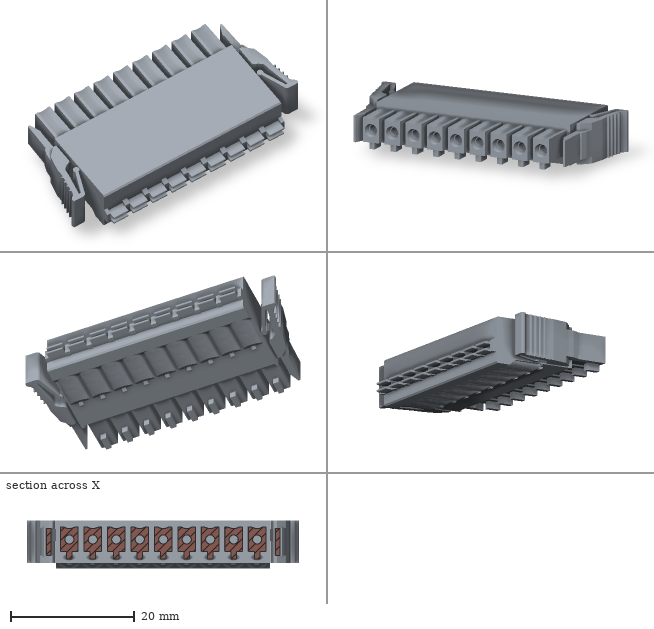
import cadquery as cq


total_length = 22.9
total_width = 44.1
total_height = 7.75

pole_count = 9
pole_row_length = 30.45
pole_pitch = pole_row_length / (pole_count - 1)
pole_places = [i * pole_pitch - pole_row_length / 2 for i in range(pole_count)]

body_front = 6.6
body_back = 21.05
body_width = 34.65
body_underside = 0.93
back_edge_chamfer = 0.25
foot_slope_start = 17.35
slope_run = 1.2

barrel_start = 11.9
barrel_half_width = 1.7
nub_start = 11.05
nub_width = 0.7
nub_bottom = 0.5
nub_tip = 11.55
nub_nose = (11.25, 0.57)
nub_root_height = 0.75
nub_overlap = 0.2

recess_depth = 0.45
recess_left = 16.95
recess_right = -16.7

plug_width = 2.8
plug_root_width = 3.0
plug_bottom = 2.75
plug_top = 6.85
groove_width = 1.9
groove_depth = 0.25
wire_hole_height = 4.75
funnel_radius = 1.1
funnel_end_radius = 0.9
funnel_depth = 1.05
bore_radius = 0.7
bore_depth = 3.53

stub_start = 0.4
stub_end = 2.75
stub_width = 0.93
stub_bottom = 1.55

ledge_back = 21.9
ledge_bottom = 1.85
ledge_edge_top = 3.8
ledge_root_top = 4.25
prong_width = 2.8
prong_thickness = 0.4
prong_tip_radius = 0.18
prong_bottoms = [2.0, 3.17]
ledge_slot_width = 2.9

handle_bottom = 2.1
handle_top = 6.55
tooth_pitch = 0.95
tooth_count = 4
tooth_start = 13.8
tooth_width = 0.4
tooth_tip_width = 0.18
tooth_height = 0.35
tooth_root_overlap = 0.15
grip_start = (13.62, 20.55)
grip_end = (17.72, 21.2)
foot_radius = 0.55
foot_place = (13.9, 18.0)
lever_inner_face = 17.9
pivot_bottom = 4.45
pivot_top = 6.4


def box(x0, x1, y0, y1, z0, z1):
    return cq.Workplane("XY").box(x1 - x0, y1 - y0, z1 - z0, centered=False).translate((x0, y0, z0))


def side_profile(points, width, y_center=0.0):
    """Extrude an XZ outline to the given width, centred on y_center."""
    outline = cq.Workplane("XZ").polyline(points).close()
    return outline.extrude(width / 2, both=True).translate((0, y_center, 0))


def plan_profile(points, z0, z1):
    """Extrude an XY outline from z0 to z1."""
    return cq.Workplane("XY").workplane(offset=z0).polyline(points).close().extrude(z1 - z0)


def make_body():
    housing = side_profile(
        [
            (body_front, body_underside),
            (foot_slope_start, body_underside),
            (foot_slope_start + slope_run, 0),
            (body_back - back_edge_chamfer, 0),
            (body_back, back_edge_chamfer),
            (body_back, total_height - back_edge_chamfer),
            (body_back - back_edge_chamfer, total_height),
            (body_front, total_height),
        ],
        body_width,
    )
    ledge = side_profile(
        [
            (body_back, ledge_bottom),
            (ledge_back, ledge_bottom),
            (ledge_back, ledge_edge_top),
            (body_back, ledge_root_top),
        ],
        body_width,
    )
    recess = box(
        body_front, body_front + recess_depth, recess_right, recess_left, body_underside, plug_bottom
    )
    return housing.union(ledge).cut(recess)


def make_barrel(y):
    """Half-elliptical underside of one pole, sloped at its plug end, with a small nub ahead of it."""
    round_bar = (
        cq.Workplane("YZ", origin=(barrel_start, y, body_underside))
        .ellipse(barrel_half_width, body_underside)
        .extrude(foot_slope_start + slope_run - barrel_start)
    )
    trim = side_profile(
        [
            (barrel_start, body_underside),
            (barrel_start + slope_run, 0),
            (foot_slope_start + slope_run, 0),
            (foot_slope_start + slope_run, body_underside),
        ],
        pole_pitch,
        y,
    )
    nub = side_profile(
        [
            (nub_start, body_underside),
            nub_nose,
            (nub_tip, nub_bottom),
            (barrel_start + nub_overlap, nub_root_height),
            (barrel_start + nub_overlap, body_underside),
        ],
        nub_width,
        y,
    )
    return round_bar.intersect(trim).union(nub)


def make_plug(y):
    """Tapered wire plug with a top groove, a funnelled wire hole and a stub below."""
    root = body_front + recess_depth
    plug = plan_profile(
        [
            (0, y - plug_width / 2),
            (root, y - plug_root_width / 2),
            (root, y + plug_root_width / 2),
            (0, y + plug_width / 2),
        ],
        plug_bottom,
        plug_top,
    )
    groove_radius = (groove_width**2 / 4 + groove_depth**2) / (2 * groove_depth)
    groove = (
        cq.Workplane("YZ", origin=(0, y, plug_top - groove_depth + groove_radius))
        .circle(groove_radius)
        .extrude(body_front)
    )
    wire_hole = (
        cq.Workplane("XZ", origin=(0, y, wire_hole_height))
        .polyline(
            [
                (0, 0),
                (0, funnel_radius),
                (funnel_depth, funnel_end_radius),
                (funnel_depth, bore_radius),
                (bore_depth, bore_radius),
                (bore_depth, 0),
            ]
        )
        .close()
        .revolve(360, (0, 0, 0), (1, 0, 0))
    )
    stub = box(stub_start, stub_end, y - stub_width / 2, y + stub_width / 2, stub_bottom, plug_bottom)
    return plug.cut(groove).cut(wire_hole).union(stub)


def make_ledge_slot(y):
    half = ledge_slot_width / 2
    return box(body_back, ledge_back, y - half, y + half, ledge_bottom, ledge_root_top)


def make_prong(y, bottom):
    half = prong_width / 2
    prong = box(body_back, total_length, y - half, y + half, bottom, bottom + prong_thickness)
    return prong.edges("|Y and >X").fillet(prong_tip_radius)


def make_lever():
    """Latch lever on the +Y end, with its handle, spring arm, grip teeth and pivot."""
    edge = total_width / 2
    wall = body_width / 2
    blade = (
        cq.Workplane("XY")
        .workplane(offset=body_underside)
        .moveTo(1.3, 18.95)
        .lineTo(1.3, 18.6)
        .lineTo(3.2, 17.8)
        .lineTo(3.95, lever_inner_face)
        .lineTo(11.65, lever_inner_face)
        .threePointArc((12.05, 18.2), (12.2, 18.7))
        .lineTo(12.6, 19.2)
        .threePointArc((12.85, 19.4), (13.15, 19.5))
        .lineTo(13.95, 19.58)
        .lineTo(18.3, 20.4)
        .lineTo(18.3, 20.05)
        .lineTo(14.3, 18.45)
        .lineTo(*foot_place)
        .lineTo(14.55, 17.95)
        .lineTo(18.55, 19.5)
        .threePointArc((19.0, 19.75), (19.15, 20.15))
        .lineTo(19.15, 21.9)
        .lineTo(18.83, edge)
        .lineTo(18.47, 22.0)
        .lineTo(18.08, 21.45)
        .lineTo(*grip_end)
        .lineTo(*grip_start)
        .lineTo(12.15, 20.55)
        .lineTo(8.9, 19.85)
        .lineTo(7.85, 19.7)
        .lineTo(6.7, 19.3)
        .lineTo(6.7, 19.1)
        .close()
        .extrude(total_height - body_underside)
    )
    foot = (
        cq.Workplane("XY", origin=(*foot_place, body_underside))
        .circle(foot_radius)
        .extrude(total_height - body_underside)
    )
    lever = blade.union(foot)

    grip_slope = (grip_end[1] - grip_start[1]) / (grip_end[0] - grip_start[0])
    tooth_flank = (tooth_width - tooth_tip_width) / 2
    for i in range(tooth_count):
        x = tooth_start + i * tooth_pitch
        y = grip_start[1] + grip_slope * (x - grip_start[0])
        tooth = [
            (x, y - tooth_root_overlap),
            (x + tooth_width, y - tooth_root_overlap),
            (x + tooth_width - tooth_flank, y + tooth_height),
            (x + tooth_flank, y + tooth_height),
        ]
        lever = lever.union(plan_profile(tooth, body_underside, total_height))

    handle_zone = [
        (0, wall),
        (7.95, wall),
        (7.95, 18.47),
        (9.3, 19.9),
        (9.52, 20.0),
        (9.52, edge),
        (0, edge),
    ]
    lever = lever.cut(plan_profile(handle_zone, handle_top, total_height))
    lever = lever.cut(plan_profile(handle_zone, body_underside, handle_bottom))

    pivot = [(9.35, wall), (11.2, wall), (11.0, lever_inner_face), (9.7, lever_inner_face)]
    return lever.union(plan_profile(pivot, pivot_bottom, pivot_top))


result = make_body()
for place in pole_places:
    result = result.union(make_barrel(place)).union(make_plug(place)).cut(make_ledge_slot(place))
    for prong_bottom in prong_bottoms:
        result = result.union(make_prong(place, prong_bottom))

lever = make_lever()
result = result.union(lever).union(lever.mirror("XZ"))